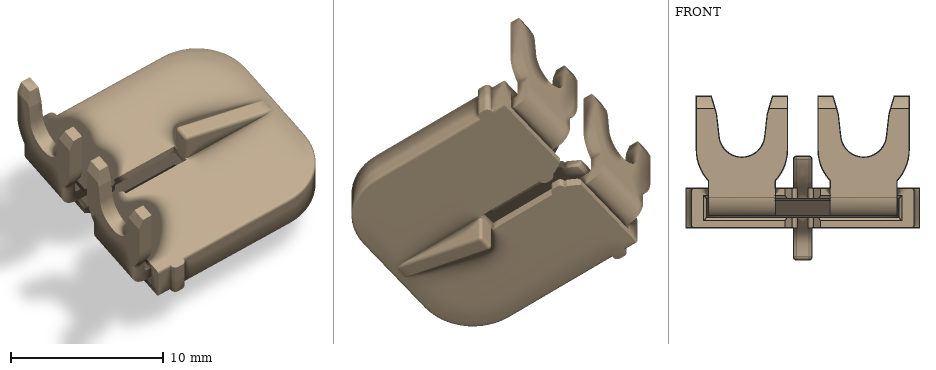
import cadquery as cq
import math

HOUSING_WIDTH = 14.62
HOUSING_LENGTH = 14.49
HOUSING_HEIGHT = 2.6
BACK_CORNER_RADIUS = 3.95
RIM_RADIUS = 0.19

GAP_WIDTH = 1.39
GAP_END_Y = 6.89
GAP_FLARE_WIDTH = 0.46
GAP_FLARE_LENGTH = 0.8

BUMP_START_Y = 1.0
BUMP_LENGTH = 1.01
BUMP_HEIGHT = 0.36
BUMP_RADIUS = 0.35

FIN_WIDTH = 1.23
FIN_PEAK_Z = 3.49
FIN_TIP_Y = 13.9
FIN_RADIUS = 0.22

PLATE_THICKNESS = 1.0
FORK_SPACING = 8.0
NECK_WIDTH = 4.4
FORK_WIDTH = 6.0
FORK_FRONT_Y = -1.31
FORK_TOP_Z = 7.35
FORK_CENTRE_Z = 3.84
BEND_INNER_RADIUS = 0.19

OPENING_CENTRE_Z = 4.85
OPENING_RADIUS = 1.5
OPENING_KINK_HALF_WIDTH = 1.66
OPENING_KINK_Z = 6.18
OPENING_TOP_HALF_WIDTH = 2.0
TIP_BEVEL_HEIGHT = 0.82
TIP_BEVEL_DEPTH = 0.3

CAVITY_WIDTH = 12.64
CAVITY_HEIGHT = 1.26
CAVITY_CORNER_RADIUS = 1.0
MOUTH_BEVEL = 0.19

plate_inner_x = (FORK_SPACING - NECK_WIDTH) / 2
web_front_y = GAP_END_Y + plate_inner_x - GAP_WIDTH / 2
web_back_y = web_front_y + NECK_WIDTH
cavity_back_y = web_back_y


def bump_strip(face_distance):
    """Strip across x = 0 whose rounded ends stand out at both x = +/- face_distance."""
    return (
        cq.Workplane("XY")
        .box(2 * (face_distance + BUMP_HEIGHT), BUMP_LENGTH, HOUSING_HEIGHT)
        .edges("|Z")
        .fillet(BUMP_RADIUS)
        .translate((0, BUMP_START_Y + BUMP_LENGTH / 2, 0))
    )


def make_housing():
    body = (
        cq.Workplane("XY")
        .box(HOUSING_WIDTH, HOUSING_LENGTH, HOUSING_HEIGHT)
        .translate((0, HOUSING_LENGTH / 2, 0))
        .edges("|Z and >Y")
        .fillet(BACK_CORNER_RADIUS)
    )
    body = body.faces(">Y").edges("|X").fillet(RIM_RADIUS)

    half_gap = GAP_WIDTH / 2
    half_mouth = half_gap + GAP_FLARE_WIDTH
    gap = (
        cq.Workplane("XY")
        .workplane(offset=-HOUSING_HEIGHT / 2)
        .polyline(
            [
                (-half_mouth, 0),
                (-half_gap, GAP_FLARE_LENGTH),
                (-half_gap, GAP_END_Y),
                (half_gap, GAP_END_Y),
                (half_gap, GAP_FLARE_LENGTH),
                (half_mouth, 0),
            ]
        )
        .close()
        .extrude(HOUSING_HEIGHT)
    )

    leg_width = (HOUSING_WIDTH - GAP_WIDTH) / 2
    leg_centre_x = (HOUSING_WIDTH + GAP_WIDTH) / 4
    body = body.cut(gap)
    for side in (-1, 1):
        body = body.union(bump_strip(leg_width / 2).translate((side * leg_centre_x, 0, 0)))
    return body


def make_cavity():
    pocket = (
        cq.Workplane("XY")
        .box(CAVITY_WIDTH, cavity_back_y, CAVITY_HEIGHT)
        .translate((0, cavity_back_y / 2, 0))
        .edges("|Z and >Y")
        .fillet(CAVITY_CORNER_RADIUS)
    )
    bevel = (
        cq.Workplane("XZ")
        .rect(CAVITY_WIDTH + 2 * MOUTH_BEVEL, CAVITY_HEIGHT + 2 * MOUTH_BEVEL)
        .workplane(offset=-MOUTH_BEVEL)
        .rect(CAVITY_WIDTH, CAVITY_HEIGHT)
        .loft(ruled=True)
    )
    return pocket.union(bevel)


def make_upper_fin():
    base_z = HOUSING_HEIGHT / 2
    return (
        cq.Workplane("YZ")
        .polyline([(GAP_END_Y, base_z), (GAP_END_Y, FIN_PEAK_Z), (FIN_TIP_Y, base_z)])
        .close()
        .extrude(FIN_WIDTH / 2, both=True)
        .edges("(not <Z) and (not (|X and >Y))")
        .fillet(FIN_RADIUS)
    )


def make_fork_outline():
    """Front outline of one fork, centred on x = 0, from the underside of the plate to its tips."""
    half_neck = NECK_WIDTH / 2
    half_fork = FORK_WIDTH / 2
    neck_top_z = FORK_CENTRE_Z - math.sqrt(half_fork**2 - half_neck**2)
    shoulder_mid_angle = math.acos(half_neck / half_fork) / 2
    shoulder_mid_x = half_fork * math.cos(shoulder_mid_angle)
    shoulder_mid_z = FORK_CENTRE_Z - half_fork * math.sin(shoulder_mid_angle)

    kink_rise = OPENING_KINK_Z - OPENING_CENTRE_Z
    kink_distance = math.hypot(OPENING_KINK_HALF_WIDTH, kink_rise)
    kink_angle = math.atan2(kink_rise, OPENING_KINK_HALF_WIDTH)
    tangent_angle = kink_angle - math.acos(OPENING_RADIUS / kink_distance)
    tangent_x = OPENING_RADIUS * math.cos(tangent_angle)
    tangent_z = OPENING_CENTRE_Z + OPENING_RADIUS * math.sin(tangent_angle)

    return (
        cq.Workplane("XZ")
        .moveTo(-half_neck, -PLATE_THICKNESS / 2)
        .lineTo(half_neck, -PLATE_THICKNESS / 2)
        .lineTo(half_neck, neck_top_z)
        .threePointArc((shoulder_mid_x, shoulder_mid_z), (half_fork, FORK_CENTRE_Z))
        .lineTo(half_fork, FORK_TOP_Z)
        .lineTo(OPENING_TOP_HALF_WIDTH, FORK_TOP_Z)
        .lineTo(OPENING_KINK_HALF_WIDTH, OPENING_KINK_Z)
        .lineTo(tangent_x, tangent_z)
        .threePointArc((0, OPENING_CENTRE_Z - OPENING_RADIUS), (-tangent_x, tangent_z))
        .lineTo(-OPENING_KINK_HALF_WIDTH, OPENING_KINK_Z)
        .lineTo(-OPENING_TOP_HALF_WIDTH, FORK_TOP_Z)
        .lineTo(-half_fork, FORK_TOP_Z)
        .lineTo(-half_fork, FORK_CENTRE_Z)
        .threePointArc((-shoulder_mid_x, shoulder_mid_z), (-half_neck, neck_top_z))
        .close()
    )


def make_fork():
    """One plate arm that bends upward into a fork, centred on x = 0."""
    half_thickness = PLATE_THICKNESS / 2
    fork_back_y = FORK_FRONT_Y + PLATE_THICKNESS
    bend_outer_radius = BEND_INNER_RADIUS + PLATE_THICKNESS
    bend_y = FORK_FRONT_Y + bend_outer_radius
    bend_z = bend_outer_radius - half_thickness
    diagonal = math.sqrt(0.5)

    strip = (
        cq.Workplane("YZ")
        .moveTo(web_back_y, -half_thickness)
        .lineTo(bend_y, -half_thickness)
        .threePointArc(
            (bend_y - bend_outer_radius * diagonal, bend_z - bend_outer_radius * diagonal),
            (FORK_FRONT_Y, bend_z),
        )
        .lineTo(FORK_FRONT_Y, FORK_TOP_Z - TIP_BEVEL_HEIGHT)
        .lineTo(FORK_FRONT_Y + TIP_BEVEL_DEPTH, FORK_TOP_Z)
        .lineTo(fork_back_y, FORK_TOP_Z)
        .lineTo(fork_back_y, bend_z)
        .threePointArc(
            (bend_y - BEND_INNER_RADIUS * diagonal, bend_z - BEND_INNER_RADIUS * diagonal),
            (bend_y, half_thickness),
        )
        .lineTo(web_back_y, half_thickness)
        .close()
        .extrude(FORK_WIDTH / 2, both=True)
    )
    outline = make_fork_outline().extrude(-(web_back_y - FORK_FRONT_Y)).translate((0, FORK_FRONT_Y, 0))
    return strip.intersect(outline)


def make_plate():
    web = (
        cq.Workplane("XY")
        .box(FORK_SPACING, NECK_WIDTH, PLATE_THICKNESS)
        .translate((0, (web_front_y + web_back_y) / 2, 0))
    )
    fork = make_fork()
    for side in (-1, 1):
        web = web.union(fork.translate((side * FORK_SPACING / 2, 0, 0)))
    return web


upper_fin = make_upper_fin()
result = (
    make_housing()
    .union(upper_fin)
    .union(upper_fin.mirror("XY"))
    .cut(make_cavity())
    .union(make_plate())
)